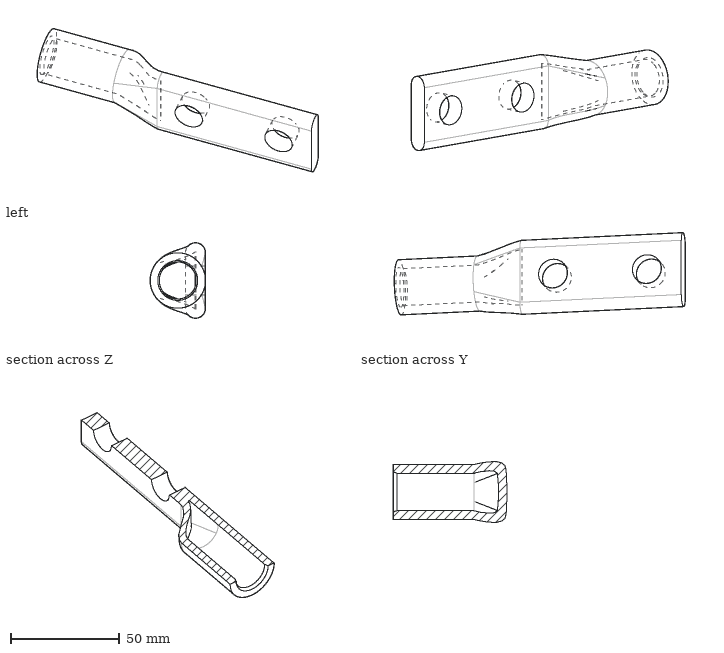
import cadquery as cq
import math

LENGTH = 135.7
BARREL_LENGTH = 37.3
PALM_START = 59.5
BARREL_RADIUS = 12.82
PALM_THICKNESS = 9.2
PALM_WIDTH = 35.0
HOLE_DIAMETER = 13.6
HOLE_POSITIONS = (75.0, 119.4)
BORE_RADIUS = 8.5
MOUTH_FLARE = 0.7
MOUTH_DEPTH = 1.8
SLIT_THICKNESS = 0.5
SEAM_ANGLE = 30.0
TRANSITION_STEPS = 4
BACK_POINTS = 3

WALL = BARREL_RADIUS - BORE_RADIUS
SLIT_WIDTH = PALM_WIDTH - 2 * WALL
PALM_CENTER_Y = PALM_THICKNESS / 2 - BARREL_RADIUS


def circle_points(radius):
    """Start, middle and end (Y, Z) points: back, upper end, front, lower end."""
    angles = (-SEAM_ANGLE, 0, SEAM_ANGLE, 90, 180 - SEAM_ANGLE, 180, 180 + SEAM_ANGLE, 270)
    return [
        (radius * math.cos(math.radians(a)), radius * math.sin(math.radians(a)))
        for a in angles
    ]


def slot_points(thickness, width):
    """The same eight points on a slot-shaped section of the palm."""
    half_width = width / 2
    end_radius = thickness / 2
    flat = half_width - end_radius
    back = PALM_CENTER_Y + end_radius
    front = PALM_CENTER_Y - end_radius
    return [
        (back, -flat), (back, 0), (back, flat), (PALM_CENTER_Y, half_width),
        (front, flat), (front, 0), (front, -flat), (PALM_CENTER_Y, -half_width),
    ]


def section_wire(x, points, flat_sides):
    """Closed section at x, with straight or curved front and back sides."""
    p = [cq.Vector(x, y, z) for y, z in points]
    edges = []
    for i in range(0, len(p), 2):
        end = p[(i + 2) % len(p)]
        is_flat = flat_sides and i % 4 == 0
        if is_flat:
            edges.append(cq.Edge.makeLine(p[i], end))
        else:
            edges.append(cq.Edge.makeThreePointArc(p[i], p[i + 1], end))
    return cq.Wire.assembleEdges(edges)


def transition(radius, thickness, width):
    """Loft from round to slot: the back dips in an S-curve, the rest moves steadily."""
    start = circle_points(radius)
    finish = slot_points(thickness, width)
    wires = []
    for step in range(TRANSITION_STEPS + 1):
        t = step / TRANSITION_STEPS
        s = t * t * (3 - 2 * t)
        x = BARREL_LENGTH + t * (PALM_START - BARREL_LENGTH)
        points = [
            (y0 + (s if i < BACK_POINTS else t) * (y1 - y0), z0 + t * (z1 - z0))
            for i, ((y0, z0), (y1, z1)) in enumerate(zip(start, finish))
        ]
        wires.append(section_wire(x, points, step == TRANSITION_STEPS))
    return cq.Workplane(cq.Solid.makeLoft(wires))


def make_palm():
    palm_length = LENGTH - PALM_START
    palm = (
        cq.Workplane("YZ", origin=(PALM_START, PALM_CENTER_Y, 0))
        .slot2D(PALM_WIDTH, PALM_THICKNESS, 90)
        .extrude(palm_length)
    )
    holes = (
        cq.Workplane("XZ")
        .pushPoints([(x, 0) for x in HOLE_POSITIONS])
        .circle(HOLE_DIAMETER / 2)
        .extrude(BARREL_RADIUS, both=True)
    )
    return palm.cut(holes)


def make_bore():
    bore = cq.Workplane("YZ").circle(BORE_RADIUS).extrude(BARREL_LENGTH)
    mouth = cq.Solid.makeCone(
        BORE_RADIUS + MOUTH_FLARE, BORE_RADIUS, MOUTH_DEPTH, dir=cq.Vector(1, 0, 0)
    )
    pinched_end = transition(BORE_RADIUS, SLIT_THICKNESS, SLIT_WIDTH)
    return bore.union(cq.Workplane(mouth)).union(pinched_end)


barrel = cq.Workplane("YZ").circle(BARREL_RADIUS).extrude(BARREL_LENGTH)
outer_transition = transition(BARREL_RADIUS, PALM_THICKNESS, PALM_WIDTH)
result = barrel.union(outer_transition).union(make_palm()).cut(make_bore())